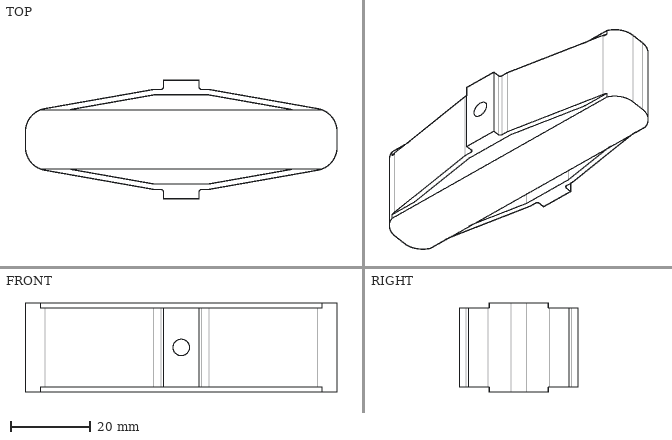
import cadquery as cq
import math

length = 78.8
width = 30.0
core_height = 22.5
core_width = 15.0
band_height = 20.0

band_thickness = 1.4
arm_angle = math.radians(10)
bend_x = 7.0
corner_radius = 6.0

pad_width = 9.0
pad_step = 2.4
pad_fillet = 0.6
hole_diameter = 4.2

half_length = length / 2
half_width = width / 2
shoulder_y = half_width - pad_step
inner_y = shoulder_y - band_thickness
inner_bend_x = bend_x - band_thickness * math.tan(arm_angle / 2)
end_y = shoulder_y - (half_length - bend_x) * math.tan(arm_angle)
core_side_y = core_width / 2
gap_end_x = inner_bend_x + (inner_y - core_side_y) / math.tan(arm_angle)


def centered_prism(points, height):
    """Extrude a closed XY outline equally above and below the XY plane."""
    return cq.Workplane("XY").polyline(points).close().extrude(height / 2, both=True)


def rounded_outline(height):
    """Eight-sided outline of the band, with its four end corners rounded."""
    points = [
        (-half_length, -end_y),
        (-bend_x, -shoulder_y),
        (bend_x, -shoulder_y),
        (half_length, -end_y),
        (half_length, end_y),
        (bend_x, shoulder_y),
        (-bend_x, shoulder_y),
        (-half_length, end_y),
    ]
    prism = centered_prism(points, height)
    end_edges = prism.faces("<X or >X").edges("|Z")
    return end_edges.fillet(corner_radius)


def make_core():
    """Full-height core: the rounded outline trimmed to flat sides."""
    trim = cq.Workplane("XY").box(length, core_width, core_height)
    return rounded_outline(core_height).intersect(trim)


def make_gap(side):
    """Open space between the core and the band on one side."""
    points = [
        (-gap_end_x, side * core_side_y),
        (-inner_bend_x, side * inner_y),
        (inner_bend_x, side * inner_y),
        (gap_end_x, side * core_side_y),
    ]
    return centered_prism(points, band_height)


def make_pad(side):
    """Pad standing on the band, with concave fillets at its foot."""
    foot_x = pad_width / 2 + pad_fillet
    fillet_y = side * (shoulder_y + pad_fillet)
    middle = pad_fillet * (1 - math.sqrt(0.5))
    arc_x = pad_width / 2 + middle
    arc_y = side * (shoulder_y + middle)
    return (
        cq.Workplane("XY")
        .moveTo(-foot_x, side * inner_y)
        .lineTo(foot_x, side * inner_y)
        .lineTo(foot_x, side * shoulder_y)
        .threePointArc((arc_x, arc_y), (pad_width / 2, fillet_y))
        .lineTo(pad_width / 2, side * half_width)
        .lineTo(-pad_width / 2, side * half_width)
        .lineTo(-pad_width / 2, fillet_y)
        .threePointArc((-arc_x, arc_y), (-foot_x, side * shoulder_y))
        .close()
        .extrude(band_height / 2, both=True)
    )


def make_hole(side):
    """Hole through one pad, opening into the gap behind it."""
    depth = half_width - core_side_y
    hole = cq.Workplane("XZ").circle(hole_diameter / 2).extrude(-side * depth)
    return hole.translate((0, side * core_side_y, 0))


band = rounded_outline(band_height)
for side in (-1, 1):
    band = band.cut(make_gap(side)).union(make_pad(side)).cut(make_hole(side))

result = make_core().union(band)